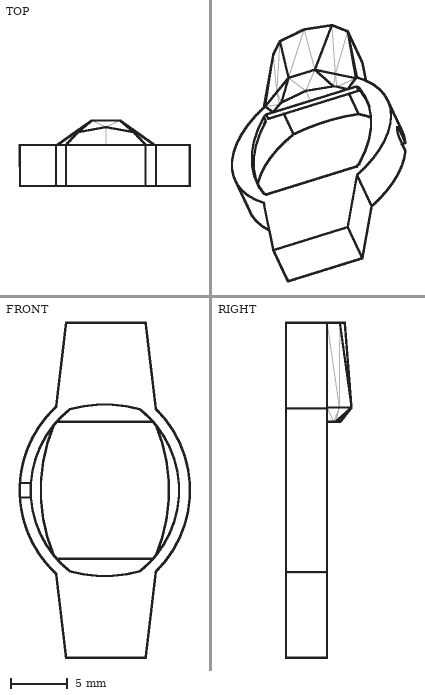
import cadquery as cq
import math

height = 29.5
housing_depth = 3.63
ring_width = 15.02
ring_half_width = ring_width / 2
ring_side_radius = 10.03
ring_end_z = 7.5
ring_wall = 0.97
half_height = height / 2

lug_offset = 0.1
lug_tip_half_width = 3.5
lug_root_half_width = 4.4
lug_root_z = 7.3

opening_half_width = ring_half_width - ring_wall
opening_corner_x = 3.07
opening_corner_z = 7.15
opening_half_height = 7.55
ledge_thickness = 0.5

window_half_width = 5.65
window_corner_x = 4.37
window_half_height = 6.02

slot_width = 1.25
slot_depth = 2.15

cap_height = 2.15
cap_tip_shoulder = (2.45, 1.12)
cap_tip_crest = 1.55
cap_ridge_z = lug_root_z
cap_ridge_base_half_width = 4.28
cap_ridge_half_width = 1.25
cap_foot_half_width = 3.5
cap_foot_break = (2.71, 0.6)
cap_foot_shoulder = (2.45, 0.75)
cap_foot_crest = 1.15


def extrude_back(sketch, depth):
    """Extrude a closed XZ outline from the front face toward +Y."""
    return sketch.extrude(-depth)


def ring_blank():
    """Two side arcs closed by straight chords where the lugs begin."""
    side_drop = ring_side_radius - math.sqrt(ring_side_radius**2 - ring_end_z**2)
    end_x = ring_half_width - side_drop
    outline = (
        cq.Workplane("XZ")
        .moveTo(-end_x, -ring_end_z)
        .threePointArc((-ring_half_width, 0), (-end_x, ring_end_z))
        .lineTo(end_x, ring_end_z)
        .threePointArc((ring_half_width, 0), (end_x, -ring_end_z))
        .close()
    )
    return extrude_back(outline, housing_depth)


def lug_blank():
    """Both lugs in one outline, joined across the middle of the ring."""
    right_side = [
        (lug_tip_half_width, -half_height),
        (lug_root_half_width, -lug_root_z),
        (lug_root_half_width, lug_root_z),
        (lug_tip_half_width, half_height),
    ]
    left_side = [(-x, z) for x, z in reversed(right_side)]
    outline = cq.Workplane("XZ").polyline(right_side + left_side).close()
    return extrude_back(outline, housing_depth).translate((lug_offset, 0, 0))


def opening_prism(depth):
    outline = (
        cq.Workplane("XZ")
        .moveTo(-opening_corner_x, -opening_corner_z)
        .threePointArc((-opening_half_width, 0), (-opening_corner_x, opening_corner_z))
        .threePointArc((0, opening_half_height), (opening_corner_x, opening_corner_z))
        .threePointArc((opening_half_width, 0), (opening_corner_x, -opening_corner_z))
        .threePointArc((0, -opening_half_height), (-opening_corner_x, -opening_corner_z))
        .close()
    )
    return extrude_back(outline, depth)


def window_cut():
    """The window, kept within the outline of the wider opening."""
    outline = (
        cq.Workplane("XZ")
        .moveTo(-window_corner_x, -window_half_height)
        .threePointArc((-window_half_width, 0), (-window_corner_x, window_half_height))
        .lineTo(window_corner_x, window_half_height)
        .threePointArc((window_half_width, 0), (window_corner_x, -window_half_height))
        .close()
    )
    window = extrude_back(outline, housing_depth)
    return window.intersect(opening_prism(housing_depth))


def slot_cut():
    slot_radius = slot_width / 2
    round_start = slot_depth - slot_radius
    return (
        cq.Workplane("YZ", origin=(-ring_half_width, 0, 0))
        .moveTo(0, -slot_radius)
        .lineTo(round_start, -slot_radius)
        .threePointArc((slot_depth, 0), (round_start, slot_radius))
        .lineTo(0, slot_radius)
        .close()
        .extrude(ring_half_width - opening_half_width + ledge_thickness)
    )


def make_housing():
    housing = ring_blank().union(lug_blank())
    opening = opening_prism(housing_depth - ledge_thickness)
    return housing.cut(opening).cut(window_cut()).cut(slot_cut())


def cap_point(half_width, rise, z, side):
    """A cap corner on the left (side = -1) or right (side = 1) of the lug centreline."""
    return cq.Vector(lug_offset + side * half_width, housing_depth + rise, z)


def flat_face(*corners):
    return cq.Face.makeFromWires(cq.Wire.makePolygon(list(corners), close=True))


def make_cap():
    tip_crest = cap_point(0, cap_tip_crest, half_height, 1)
    tip_center = cap_point(0, 0, half_height, 1)
    foot_crest = cap_point(0, cap_foot_crest, window_half_height, 1)
    foot_center = cap_point(0, 0, window_half_height, 1)
    ridge_middle_half_width = (cap_ridge_base_half_width + cap_ridge_half_width) / 2

    faces = []
    ridge_ends = []
    for side in (-1, 1):
        tip_base = cap_point(lug_tip_half_width, 0, half_height, side)
        tip_shoulder = cap_point(*cap_tip_shoulder, half_height, side)
        ridge_base = cap_point(cap_ridge_base_half_width, 0, cap_ridge_z, side)
        ridge_middle = cap_point(ridge_middle_half_width, cap_height / 2, cap_ridge_z, side)
        ridge_end = cap_point(cap_ridge_half_width, cap_height, cap_ridge_z, side)
        foot_base = cap_point(cap_foot_half_width, 0, window_half_height, side)
        foot_break = cap_point(*cap_foot_break, window_half_height, side)
        foot_shoulder = cap_point(*cap_foot_shoulder, window_half_height, side)
        ridge_ends.append(ridge_end)
        faces += [
            flat_face(tip_base, ridge_base, ridge_middle),
            flat_face(tip_base, ridge_middle, tip_shoulder),
            flat_face(tip_shoulder, ridge_middle, ridge_end),
            flat_face(tip_shoulder, ridge_end, tip_crest),
            flat_face(ridge_base, foot_base, foot_break),
            flat_face(ridge_base, foot_break, ridge_middle),
            flat_face(ridge_middle, foot_break, foot_shoulder),
            flat_face(ridge_middle, foot_shoulder, ridge_end),
            flat_face(ridge_end, foot_shoulder, foot_crest),
            flat_face(tip_center, tip_base, tip_shoulder, tip_crest),
            flat_face(foot_center, foot_base, foot_break, foot_shoulder, foot_crest),
            flat_face(tip_center, tip_base, ridge_base, foot_base, foot_center),
        ]
    faces.append(flat_face(tip_crest, *ridge_ends))
    faces.append(flat_face(foot_crest, *ridge_ends))
    cap = cq.Solid.makeSolid(cq.Shell.makeShell(faces))
    return cq.Workplane(cap.fix())


housing = make_housing()
cap = make_cap()

result = cq.Compound.makeCompound([housing.solids().val(), cap.val()])